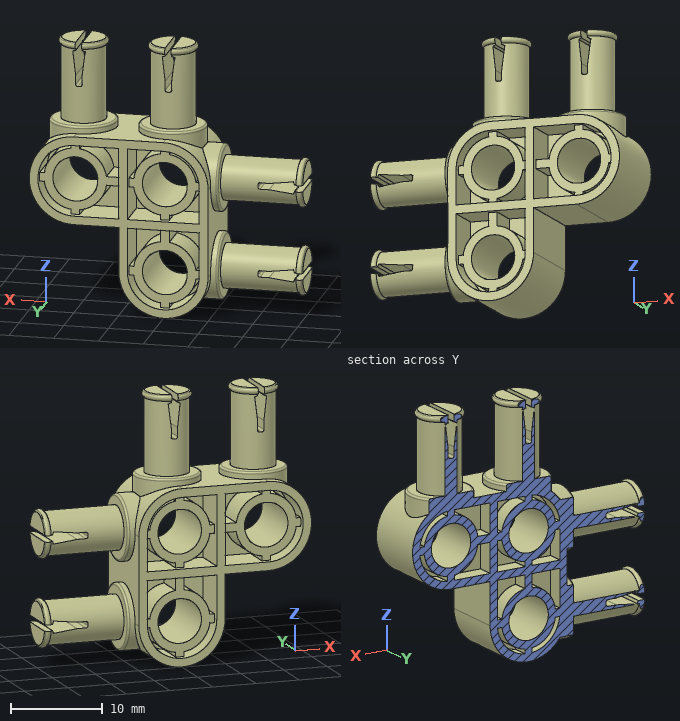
import cadquery as cq

pitch = 30 / 3
wall = 1.0
hole_diameter = 5.0
tube_diameter = 7.02
tube_recess = 0.75
rib_width = 1.0
web_thickness = 1.0

pin_length = pitch
pin_diameter = 5.0
collar_diameter = 7.5
collar_height = 0.85
collar_round = 0.25
lip_diameter = 5.52
lip_height = 0.75
lip_end_diameter = 4.85
lip_bevel_diameter = 5.22
lip_bevel_drop = 0.1

slot_depth = pitch / 2
slot_width = 0.72
slot_wide_width = 1.38
slot_mouth_depth = 0.9
slot_wide_depth = 1.05
slot_taper_end_depth = 3.75
slot_bottom_round = 0.25

body_radius = pitch / 2
cell_half = body_radius - wall
cell_depth = (pitch - web_thickness) / 2

hole_centers = [(0, 0), (pitch, 0), (0, -pitch)]


def box_between(x_min, x_max, y_min, y_max, z_min, z_max):
    size = (x_max - x_min, y_max - y_min, z_max - z_min)
    return cq.Workplane("XY").box(*size, centered=False).translate((x_min, y_min, z_min))


def rod_along_y(x, z, radius, y_min, y_max):
    return cq.Workplane("XZ", origin=(x, y_min, z)).circle(radius).extrude(y_min - y_max)


def body_block():
    """L-shaped block with rounded ends and a rounded outer corner."""
    r = body_radius
    block = box_between(0, pitch, -r, r, -r, r)
    block = block.union(box_between(-r, r, -r, r, -pitch, 0))
    for x, z in hole_centers:
        block = block.union(rod_along_y(x, z, r, -r, r))
    return block


def make_pin():
    """Upright pin whose axis is Z and whose foot reaches down to the hole axis."""
    tip = body_radius + pin_length
    collar = (
        cq.Workplane("XY")
        .circle(collar_diameter / 2)
        .extrude(body_radius + collar_height)
        .faces(">Z").edges().fillet(collar_round)
    )
    shaft = cq.Workplane("XY").circle(pin_diameter / 2).extrude(tip - lip_height / 2)
    lip = (
        cq.Workplane("XZ")
        .moveTo(0, tip - lip_height)
        .lineTo(pin_diameter / 2, tip - lip_height)
        .threePointArc(
            (lip_diameter / 2, tip - lip_height / 2),
            (lip_bevel_diameter / 2, tip - lip_bevel_drop),
        )
        .lineTo(lip_end_diameter / 2, tip)
        .lineTo(0, tip)
        .close()
        .revolve(360, (0, 0), (0, 1))
    )
    slot_side = [
        (slot_width / 2, tip),
        (slot_width / 2, tip - slot_mouth_depth),
        (slot_wide_width / 2, tip - slot_wide_depth),
        (slot_width / 2, tip - slot_taper_end_depth),
        (slot_width / 2, tip - slot_depth),
    ]
    mirrored_side = [(-x, z) for x, z in reversed(slot_side)]
    slot = (
        cq.Workplane("XZ")
        .polyline(slot_side + mirrored_side)
        .close()
        .extrude(lip_diameter, both=True)
        .faces("<Z").edges("|Y").fillet(slot_bottom_round)
    )
    return collar.union(shaft).union(lip).cut(slot)


def cell_pocket(x, z, x_min, z_max, rounded_corners):
    """Front pocket of the cell around the hole at (x, z).

    Each listed corner is rounded about the hole; a sleeve and four ribs are left standing.
    """
    h = cell_half
    x_max = x + h
    z_min = z - h
    front = -body_radius
    floor = front + cell_depth
    pocket = box_between(x_min, x_max, front, floor, z_min, z_max)
    for side_x, side_z in rounded_corners:
        x_range = sorted((x, x + side_x * h))
        z_range = sorted((z, z + side_z * h))
        quadrant = box_between(*x_range, front, floor, *z_range)
        pocket = pocket.cut(quadrant.cut(rod_along_y(x, z, h, front, floor)))
    sleeve_front = front + tube_recess
    kept = rod_along_y(x, z, tube_diameter / 2, sleeve_front, floor)
    half_rib = rib_width / 2
    kept = kept.union(box_between(x_min, x_max, sleeve_front, floor, z - half_rib, z + half_rib))
    kept = kept.union(box_between(x - half_rib, x + half_rib, sleeve_front, floor, z_min, z_max))
    return pocket.cut(kept)


result = body_block()
pin = make_pin()
sideways_pin = pin.rotate((0, 0, 0), (0, 1, 0), -90)
for step in range(2):
    result = result.union(pin.translate((step * pitch, 0, 0)))
    result = result.union(sideways_pin.translate((0, 0, -step * pitch)))

divider_far_side = cell_half + wall
pockets = [
    cell_pocket(0, 0, -cell_half, cell_half, [(-1, 1)]),
    cell_pocket(pitch, 0, divider_far_side, cell_half, [(1, 1), (1, -1)]),
    cell_pocket(0, -pitch, -cell_half, -divider_far_side, [(-1, -1), (1, -1)]),
]
for pocket in pockets:
    result = result.cut(pocket).cut(pocket.mirror("XZ"))
for x, z in hole_centers:
    result = result.cut(rod_along_y(x, z, hole_diameter / 2, -body_radius, body_radius))